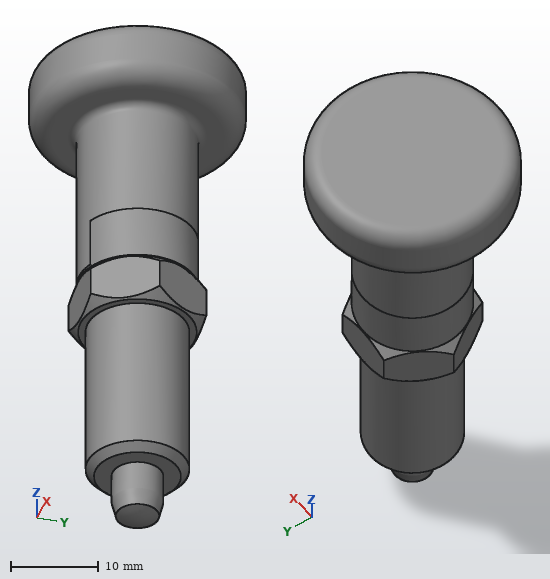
import cadquery as cq
import math

TOTAL_HEIGHT = 61.0
PIN_LENGTH = 6.0
HEX_BOTTOM = 26.0
HEX_HEIGHT = 6.05
HEX_TOP = HEX_BOTTOM + HEX_HEIGHT
KEY_BOTTOM = 32.4
SLEEVE_BOTTOM = 38.4

KNOB_RADIUS = 12.5
HEAD_HEIGHT = 8.0
HEAD_BOTTOM = TOTAL_HEIGHT - HEAD_HEIGHT
TOP_ROUND = 2.0
UNDERSIDE_ROUND = 2.5
SLEEVE_RADIUS = 7.0
NECK_FILLET = 1.0
KEY_WIDTH = 4.95
KEY_DEPTH = 2.45

HEX_ACROSS_FLATS = 14.0
HEX_CORNER_RADIUS = HEX_ACROSS_FLATS / math.sqrt(3)
HEX_CHAMFER = 1.3
SHANK_RADIUS = 6.0
SHANK_CHAMFER = 1.0
PIN_RADIUS = 3.0
PIN_TAPER_HEIGHT = 2.4
PIN_TIP_RADIUS = 2.5
PIN_DOME_HEIGHT = 0.5

ARC_MIDDLE = math.sqrt(0.5)


def cylinder(radius, bottom, top):
    return cq.Workplane("XY").workplane(offset=bottom).circle(radius).extrude(top - bottom)


def locking_key():
    """Segment on the -Y side shared by the knob key and the guide slot."""
    block = cq.Workplane("XY").box(
        KEY_WIDTH, KEY_DEPTH, SLEEVE_BOTTOM - KEY_BOTTOM, centered=(True, False, False)
    ).translate((0, -SLEEVE_RADIUS, KEY_BOTTOM))
    return block.intersect(cylinder(SLEEVE_RADIUS, KEY_BOTTOM, SLEEVE_BOTTOM))


def make_knob():
    """Rounded head, filleted into a sleeve that carries the key."""
    top_center = (KNOB_RADIUS - TOP_ROUND, TOTAL_HEIGHT - TOP_ROUND)
    low_center = (KNOB_RADIUS - UNDERSIDE_ROUND, HEAD_BOTTOM + UNDERSIDE_ROUND)
    neck_center = (SLEEVE_RADIUS + NECK_FILLET, HEAD_BOTTOM - NECK_FILLET)
    top_offset = TOP_ROUND * ARC_MIDDLE
    low_offset = UNDERSIDE_ROUND * ARC_MIDDLE
    neck_offset = NECK_FILLET * ARC_MIDDLE
    profile = (
        cq.Workplane("XZ")
        .moveTo(0, SLEEVE_BOTTOM)
        .lineTo(SLEEVE_RADIUS, SLEEVE_BOTTOM)
        .lineTo(SLEEVE_RADIUS, neck_center[1])
        .threePointArc(
            (neck_center[0] - neck_offset, neck_center[1] + neck_offset),
            (neck_center[0], HEAD_BOTTOM),
        )
        .lineTo(low_center[0], HEAD_BOTTOM)
        .threePointArc(
            (low_center[0] + low_offset, low_center[1] - low_offset),
            (KNOB_RADIUS, low_center[1]),
        )
        .lineTo(KNOB_RADIUS, top_center[1])
        .threePointArc(
            (top_center[0] + top_offset, top_center[1] + top_offset),
            (top_center[0], TOTAL_HEIGHT),
        )
        .lineTo(0, TOTAL_HEIGHT)
        .close()
    )
    return profile.revolve(360, (0, 0), (0, 1)).union(locking_key())


def make_hexagon():
    """Hexagon with corners on X, both ends turned to a 45 degree chamfer."""
    prism = (
        cq.Workplane("XY")
        .workplane(offset=HEX_BOTTOM)
        .polygon(6, 2 * HEX_CORNER_RADIUS)
        .extrude(HEX_HEIGHT)
    )
    turned = cylinder(HEX_CORNER_RADIUS, HEX_BOTTOM, HEX_TOP).faces("<Z or >Z").chamfer(HEX_CHAMFER)
    return prism.intersect(turned)


def make_pin():
    """Pin with a tapered end and a slightly domed tip."""
    sphere_radius = (PIN_TIP_RADIUS**2 + PIN_DOME_HEIGHT**2) / (2 * PIN_DOME_HEIGHT)
    middle_radius = PIN_TIP_RADIUS / 2
    middle_height = sphere_radius - math.sqrt(sphere_radius**2 - middle_radius**2)
    return (
        cq.Workplane("XZ")
        .moveTo(0, 0)
        .threePointArc((middle_radius, middle_height), (PIN_TIP_RADIUS, PIN_DOME_HEIGHT))
        .lineTo(PIN_RADIUS, PIN_TAPER_HEIGHT)
        .lineTo(PIN_RADIUS, PIN_LENGTH)
        .lineTo(0, PIN_LENGTH)
        .close()
        .revolve(360, (0, 0), (0, 1))
    )


def make_guide():
    """Pin, shank, hexagon and a collar slotted for the key, in one solid."""
    shank = cylinder(SHANK_RADIUS, PIN_LENGTH, HEX_BOTTOM).faces("<Z").chamfer(SHANK_CHAMFER)
    collar = cylinder(SLEEVE_RADIUS, HEX_TOP, SLEEVE_BOTTOM).cut(locking_key())
    return make_pin().union(shank).union(make_hexagon()).union(collar)


knob = make_knob()
guide = make_guide()

result = cq.Compound.makeCompound([knob.val(), guide.val()])